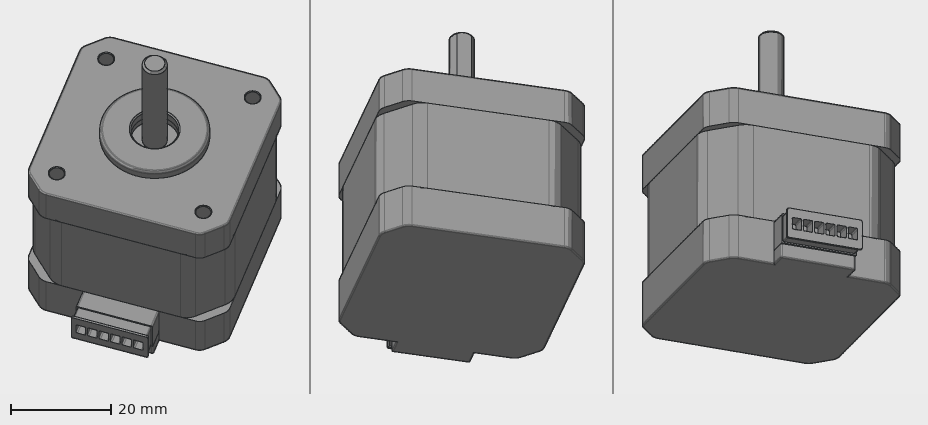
import cadquery as cq

BODY_WIDTH = 42.3
HALF_WIDTH = BODY_WIDTH / 2
REAR_TOP = 9.4
STATOR_TOP = 29.6
COVER_TOP = 37.3
TOTAL_HEIGHT = 60.3

COVER_CORNER_CUT = 4.4
COVER_CORNER_RADIUS = 2.5
STATOR_CORNER_CUT = 7.0
STATOR_CORNER_RADIUS = 4.0
COVER_EDGE_RADIUS = 0.3

RING_DIAMETER = 22.0
RING_HEIGHT = 2.0
RING_TOP = COVER_TOP + RING_HEIGHT
RING_CHAMFER = 0.5
RING_EDGE_RADIUS = 0.3

BORE_DIAMETER = 9.5
BORE_CHAMFER = 0.3
RECESS_FLOOR = 35.95

MOUNT_PITCH = 30.8
MOUNT_DIAMETER = 3.0
MOUNT_CHAMFER = 0.2

SHAFT_DIAMETER = 5.0
SHAFT_CHAMFER = 0.5
FLAT_DEPTH = 0.5
FLAT_BOTTOM = 41.7

CONNECTOR_WIDTH = 16.1
CONNECTOR_EDGE_RADIUS = 0.35
SHELF_HEIGHT = 3.0
SHELF_LENGTH = 3.6
SHELF_EDGE_RADIUS = 0.35
SOCKET_LENGTH = 4.05
SOCKET_HEIGHT = REAR_TOP - SHELF_HEIGHT
SOCKET_MID_HEIGHT = SHELF_HEIGHT + SOCKET_HEIGHT / 2
SOCKET_FRONT = -HALF_WIDTH - SOCKET_LENGTH
PLUG_LENGTH = 3.0
PLUG_FLANGE_THICKNESS = 0.5
PLUG_NECK_INSET = 0.3
PLUG_NECK_RADIUS = 0.25
CONTACT_COUNT = 6
CONTACT_PITCH = 2.4
CONTACT_WIDTH = 2.0
CONTACT_HEIGHT = 2.55
CONTACT_CORNER_RADIUS = 0.3


def body_block(bottom, top, corner_cut, corner_radius):
    """Square block with rounded 45 degree corners between two heights."""
    return (
        cq.Workplane("XY", origin=(0, 0, bottom))
        .rect(BODY_WIDTH, BODY_WIDTH)
        .extrude(top - bottom)
        .edges("|Z")
        .chamfer(corner_cut)
        .edges("|Z")
        .fillet(corner_radius)
    )


def cylinder(diameter, bottom, top):
    """Round bar on the Z axis between two heights."""
    return cq.Workplane("XY", origin=(0, 0, bottom)).circle(diameter / 2).extrude(top - bottom)


def box_between(width, y_front, y_back, bottom, top):
    """Box centred on X = 0 between two Y positions and two heights."""
    return (
        cq.Workplane("XY", origin=(0, (y_front + y_back) / 2, bottom))
        .box(width, y_back - y_front, top - bottom, centered=(True, True, False))
    )


def make_pilot_ring():
    """Pilot ring whose chamfered rim has rounded edges, with a chamfered bore."""
    ring = cylinder(RING_DIAMETER, COVER_TOP, RING_TOP).faces(">Z").edges().chamfer(RING_CHAMFER)
    ring = ring.edges("%CIRCLE and (not <Z)").fillet(RING_EDGE_RADIUS)
    ring = ring.cut(cylinder(BORE_DIAMETER, COVER_TOP, RING_TOP))
    bore_rim = cq.selectors.RadiusNthSelector(0)
    return ring.faces(">Z").edges(bore_rim).chamfer(BORE_CHAMFER)


def make_front_cover():
    """Front cover with a central recess, a shaft hole in its floor and four mounting holes."""
    cover = body_block(STATOR_TOP, COVER_TOP, COVER_CORNER_CUT, COVER_CORNER_RADIUS)
    cover = cover.faces(">Z").edges().fillet(COVER_EDGE_RADIUS)
    cover = (
        cover.faces(">Z")
        .workplane(origin=(0, 0, COVER_TOP))
        .rect(MOUNT_PITCH, MOUNT_PITCH, forConstruction=True)
        .vertices()
        .cskHole(MOUNT_DIAMETER, MOUNT_DIAMETER + 2 * MOUNT_CHAMFER, 90)
    )
    cover = cover.cut(cylinder(BORE_DIAMETER, RECESS_FLOOR, COVER_TOP))
    return cover.cut(cylinder(SHAFT_DIAMETER, STATOR_TOP, RECESS_FLOOR))


def make_stator():
    """Plain stator block between the two covers."""
    return body_block(REAR_TOP, STATOR_TOP, STATOR_CORNER_CUT, STATOR_CORNER_RADIUS)


def make_rear_cover():
    """Rear cover with the shelf that carries the connector socket."""
    cover = body_block(0, REAR_TOP, COVER_CORNER_CUT, COVER_CORNER_RADIUS)
    shelf = box_between(CONNECTOR_WIDTH, -HALF_WIDTH - SHELF_LENGTH, 0, 0, SHELF_HEIGHT)
    shelf = shelf.edges("|Z and <Y").fillet(SHELF_EDGE_RADIUS)
    return cover.union(shelf).faces("<Z").edges().fillet(COVER_EDGE_RADIUS)


def make_shaft():
    """Shaft with a chamfered tip and a flat on its +Y side."""
    shaft = cylinder(SHAFT_DIAMETER, STATOR_TOP, TOTAL_HEIGHT)
    shaft = shaft.faces(">Z").edges().chamfer(SHAFT_CHAMFER)
    shaft_radius = SHAFT_DIAMETER / 2
    flat = box_between(SHAFT_DIAMETER, shaft_radius - FLAT_DEPTH, shaft_radius, FLAT_BOTTOM, TOTAL_HEIGHT)
    return shaft.cut(flat)


def make_socket():
    """Connector socket against the rear cover, with its two long top edges rounded."""
    socket = box_between(CONNECTOR_WIDTH, SOCKET_FRONT, -HALF_WIDTH, SHELF_HEIGHT, REAR_TOP)
    return socket.edges("|Y and >Z").fillet(CONNECTOR_EDGE_RADIUS)


def make_plug():
    """Connector plug: a neck, a front flange and a row of contact openings."""
    plug_front = SOCKET_FRONT - PLUG_LENGTH
    flange_back = plug_front + PLUG_FLANGE_THICKNESS
    neck = box_between(
        CONNECTOR_WIDTH - 2 * PLUG_NECK_INSET,
        flange_back,
        SOCKET_FRONT,
        SHELF_HEIGHT + PLUG_NECK_INSET,
        REAR_TOP - PLUG_NECK_INSET,
    ).edges("|Y").fillet(PLUG_NECK_RADIUS)
    flange = box_between(CONNECTOR_WIDTH, plug_front, flange_back, SHELF_HEIGHT, REAR_TOP)
    flange = flange.edges("|Y").fillet(CONNECTOR_EDGE_RADIUS)
    openings = (
        cq.Workplane("XZ", origin=(0, SOCKET_FRONT, SOCKET_MID_HEIGHT))
        .rarray(CONTACT_PITCH, 0.6, CONTACT_COUNT, 1)
        .rect(CONTACT_WIDTH, CONTACT_HEIGHT)
        .extrude(PLUG_LENGTH)
        .edges("|Y")
        .fillet(CONTACT_CORNER_RADIUS)
    )
    return neck.union(flange).cut(openings)


pilot_ring = make_pilot_ring()
front_cover = make_front_cover()
stator = make_stator()
rear_cover = make_rear_cover()
shaft = make_shaft()
socket = make_socket()
plug = make_plug()

result = cq.Compound.makeCompound([
    pilot_ring.val(),
    front_cover.val(),
    stator.val(),
    rear_cover.val(),
    shaft.val(),
    socket.val(),
    plug.val(),
])